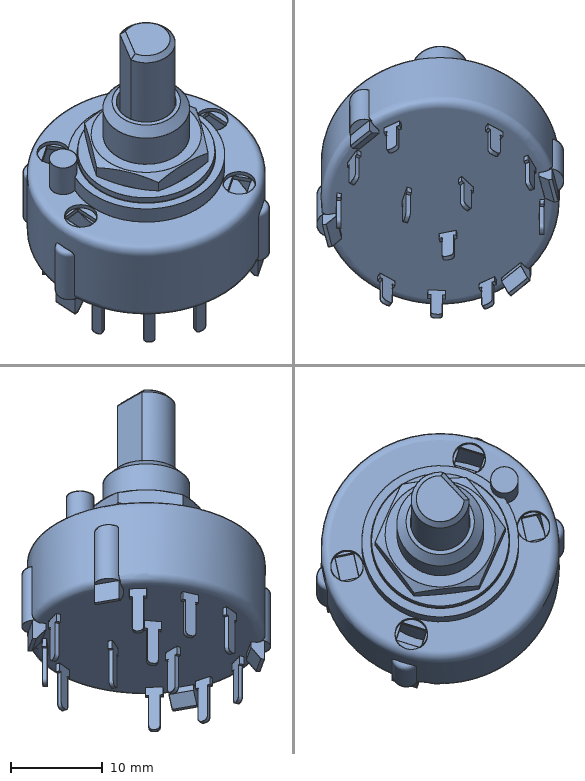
import cadquery as cq
import math


HOUSING_DIAMETER = 26.0
HOUSING_HEIGHT = 10.22
TOP_FACE_DIAMETER = 24.0
EDGE_RADIUS = (HOUSING_DIAMETER - TOP_FACE_DIAMETER) / 2
WALL = EDGE_RADIUS
COLLAR_DIAMETER = 17.15
COLLAR_HEIGHT = 2.0
SEAT_DIAMETER = 15.15
SEAT_DEPTH = 0.1
BUSHING_DIAMETER = 9.5
BUSHING_BORE = 6.5
BUSHING_CHAMFER_WIDTH = 1.0
BUSHING_CHAMFER_HEIGHT = 1.0

CORE_DIAMETER = COLLAR_DIAMETER
CORE_DEPTH = 1.47
CHANNEL_FLOOR = 2.0

POST_DIAMETER = 3.0
POST_OFFSET = 9.5
POST_HEIGHT = 4.02

CLIP_ANGLES = (60, 120, 240, 300)
RECESS_DIAMETER = 3.55
RECESS_DEPTH = 0.5
SLOT_RADIUS = 10.43
SLOT_LENGTH = 2.87
SLOT_WIDTH = 2.1
RIB_DIAMETER = 3.15
RIB_CENTER_RADIUS = 12.2
RIB_BOTTOM = 0.28
RIB_TOP = 7.2
RIB_EDGE_RADIUS = 0.5
HOOK_WIDTH = 2.87
HOOK_OUTER_RADIUS = 12.88
HOOK_INNER_RADIUS = 11.38
HOOK_TIP_THICKNESS = 0.42
HOOK_DROP = 2.0
HOOK_SLOPE_DROP = 0.7

POLE_COUNT = 3
OUTER_PIN_ANGLES = (75, 105, 135)
OUTER_PIN_RADIUS = 11.1
COMMON_PIN_ANGLE = 90
COMMON_PIN_RADIUS = 3.85
PIN_LENGTH = 5.3
PIN_WIDTH = 1.25
PIN_THICKNESS = 0.5
PIN_TIP_RADIUS = 0.5
SHOULDER_WIDTH = 1.92
SHOULDER_LENGTH = 0.98

WASHER_DIAMETER = 15.0
WASHER_EXPOSED = 0.65
NUT_SIDES = 6
NUT_ACROSS_FLATS = 12.4
NUT_HEIGHT = 2.4
NUT_FACE_DIAMETER = 12.05
NUT_CHAMFER_ANGLE = 27
NUT_TURN = -6
BUSHING_ABOVE_NUT = 4.97
SHAFT_DIAMETER = 6.35
SHAFT_FLAT_OFFSET = 2.38
SHAFT_CHAMFER = 0.55
TOTAL_HEIGHT = 35.0

COLLAR_TOP = HOUSING_HEIGHT + COLLAR_HEIGHT
SEAT_FLOOR = COLLAR_TOP - SEAT_DEPTH
WASHER_TOP = COLLAR_TOP + WASHER_EXPOSED
NUT_TOP = WASHER_TOP + NUT_HEIGHT
BUSHING_TOP = NUT_TOP + BUSHING_ABOVE_NUT
SHAFT_TOP = TOTAL_HEIGHT - PIN_LENGTH
CAVITY_TOP = HOUSING_HEIGHT - WALL
CORE_TOP = CAVITY_TOP - CORE_DEPTH


def cylinder(diameter, bottom, top):
    return cq.Workplane("XY").workplane(offset=bottom).circle(diameter / 2).extrude(top - bottom)


def at_angle(shape, angle):
    return shape.rotate((0, 0, 0), (0, 0, 1), angle)


def make_shell():
    """Round case with its collar, washer seat, bushing and locating post."""
    case = cylinder(HOUSING_DIAMETER, 0, HOUSING_HEIGHT).edges("%CIRCLE").fillet(EDGE_RADIUS)
    collar = cylinder(COLLAR_DIAMETER, HOUSING_HEIGHT, COLLAR_TOP)
    seat = cylinder(SEAT_DIAMETER, SEAT_FLOOR, COLLAR_TOP)
    bushing = cylinder(BUSHING_DIAMETER, CORE_TOP, BUSHING_TOP)
    bushing = bushing.faces(">Z").chamfer(BUSHING_CHAMFER_HEIGHT, BUSHING_CHAMFER_WIDTH)
    post = cylinder(POST_DIAMETER, HOUSING_HEIGHT, HOUSING_HEIGHT + POST_HEIGHT)
    post = post.translate((0, -POST_OFFSET, 0))
    return case.union(collar).cut(seat).union(bushing).union(post)


def make_cavity():
    """Deep ring channel in the case, and the shallow space between core and roof."""
    cavity = cylinder(HOUSING_DIAMETER - 2 * WALL, CHANNEL_FLOOR, CAVITY_TOP)
    core = cylinder(CORE_DIAMETER, CHANNEL_FLOOR, CORE_TOP)
    hub = cylinder(BUSHING_DIAMETER, CORE_TOP, CAVITY_TOP)
    return cavity.cut(core).cut(hub)


def make_rib():
    """Rounded rib on the case wall, built on the +X axis."""
    rib = cylinder(RIB_DIAMETER, RIB_BOTTOM, RIB_TOP).faces(">Z").edges().fillet(RIB_EDGE_RADIUS)
    return rib.translate((RIB_CENTER_RADIUS, 0, 0))


def make_hook():
    """Hook under the rib, sloped on its inner side, built on the +X axis."""
    return (
        cq.Workplane("XZ")
        .moveTo(HOOK_OUTER_RADIUS, RIB_BOTTOM)
        .lineTo(HOOK_OUTER_RADIUS, -HOOK_DROP)
        .lineTo(HOOK_OUTER_RADIUS - HOOK_TIP_THICKNESS, -HOOK_DROP)
        .lineTo(HOOK_INNER_RADIUS, -HOOK_SLOPE_DROP)
        .lineTo(HOOK_INNER_RADIUS, RIB_BOTTOM)
        .close()
        .extrude(HOOK_WIDTH / 2, both=True)
    )


def make_clip_opening():
    """Round recess with a slot through the roof of the case, built on the +X axis."""
    recess = cylinder(RECESS_DIAMETER, HOUSING_HEIGHT - RECESS_DEPTH, HOUSING_HEIGHT)
    slot = (
        cq.Workplane("XY")
        .workplane(offset=CAVITY_TOP)
        .rect(SLOT_WIDTH, SLOT_LENGTH)
        .extrude(WALL)
    )
    slot = slot.intersect(cylinder(RECESS_DIAMETER, CAVITY_TOP, HOUSING_HEIGHT))
    return recess.union(slot).translate((SLOT_RADIUS, 0, 0))


def make_pin(radius):
    """Flat terminal with a wider shoulder and a rounded tip, built on the +X axis."""
    blade = (
        cq.Workplane("XY")
        .box(PIN_THICKNESS, PIN_WIDTH, PIN_LENGTH, centered=(True, True, False))
        .faces("<Z")
        .edges("|X")
        .fillet(PIN_TIP_RADIUS)
        .translate((0, 0, -PIN_LENGTH))
    )
    shoulder = (
        cq.Workplane("XY")
        .box(PIN_THICKNESS, SHOULDER_WIDTH, SHOULDER_LENGTH, centered=(True, True, False))
        .translate((0, 0, -SHOULDER_LENGTH))
    )
    return blade.union(shoulder).translate((radius, 0, 0))


def make_housing():
    housing = make_shell()
    for angle in CLIP_ANGLES:
        housing = housing.union(at_angle(make_rib(), angle))
        housing = housing.union(at_angle(make_hook(), angle))
        housing = housing.cut(at_angle(make_clip_opening(), angle))
    housing = housing.cut(make_cavity())
    for pole in range(POLE_COUNT):
        pole_turn = pole * 360 / POLE_COUNT
        for angle in OUTER_PIN_ANGLES:
            housing = housing.union(at_angle(make_pin(OUTER_PIN_RADIUS), angle + pole_turn))
        housing = housing.union(at_angle(make_pin(COMMON_PIN_RADIUS), COMMON_PIN_ANGLE + pole_turn))
    return housing.cut(cylinder(BUSHING_BORE, CORE_TOP, BUSHING_TOP))


def make_washer():
    washer = cylinder(WASHER_DIAMETER, SEAT_FLOOR, WASHER_TOP)
    return washer.cut(cylinder(BUSHING_DIAMETER, SEAT_FLOOR, WASHER_TOP))


def make_nut():
    """Hexagonal nut with its corners chamfered on both faces."""
    across_corners = NUT_ACROSS_FLATS / math.cos(math.pi / NUT_SIDES)
    hexagon = (
        cq.Workplane("XY")
        .workplane(offset=WASHER_TOP)
        .polygon(NUT_SIDES, across_corners)
        .extrude(NUT_HEIGHT)
    )
    face_radius = NUT_FACE_DIAMETER / 2
    corner_radius = across_corners / 2
    corner_drop = (corner_radius - face_radius) * math.tan(math.radians(NUT_CHAMFER_ANGLE))
    envelope = (
        cq.Workplane("XZ")
        .moveTo(0, WASHER_TOP)
        .lineTo(face_radius, WASHER_TOP)
        .lineTo(corner_radius, WASHER_TOP + corner_drop)
        .lineTo(corner_radius, NUT_TOP - corner_drop)
        .lineTo(face_radius, NUT_TOP)
        .lineTo(0, NUT_TOP)
        .close()
        .revolve(360, (0, 0, 0), (0, 1, 0))
    )
    bore = cylinder(BUSHING_DIAMETER, WASHER_TOP, NUT_TOP)
    return at_angle(hexagon.intersect(envelope).cut(bore), NUT_TURN)


def make_shaft():
    """D-shaped shaft with its flat facing -Y, chamfered around the top."""
    shaft = cylinder(SHAFT_DIAMETER, CORE_TOP, SHAFT_TOP)
    flat_cut = (
        cq.Workplane("XY")
        .box(SHAFT_DIAMETER, SHAFT_DIAMETER, SHAFT_TOP, centered=(True, True, False))
        .translate((0, -SHAFT_FLAT_OFFSET - SHAFT_DIAMETER / 2, 0))
    )
    return shaft.cut(flat_cut).faces(">Z").chamfer(SHAFT_CHAMFER)


housing = make_housing()
washer = make_washer()
nut = make_nut()
shaft = make_shaft()

result = cq.Compound.makeCompound([housing.val(), washer.val(), nut.val(), shaft.val()])